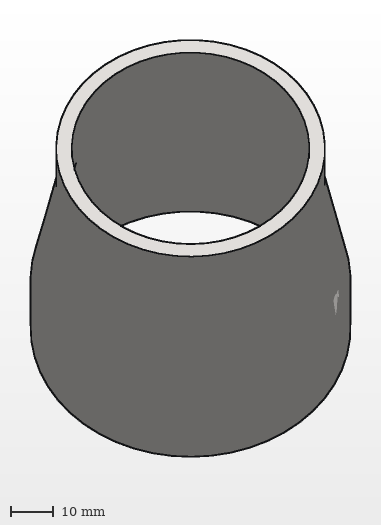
import cadquery as cq

wide_diameter = 75.0
narrow_diameter = 63.0
wall = 3.7
total_height = 71.0
wide_length = 19.0
narrow_length = 16.0

wide_radius = wide_diameter / 2
narrow_radius = narrow_diameter / 2
taper_top = total_height - narrow_length


def reducer_body(inset):
    """Solid of revolution following the outer outline, moved inward by inset."""
    lower_radius = wide_radius - inset
    upper_radius = narrow_radius - inset
    outline = [
        (0, 0),
        (lower_radius, 0),
        (lower_radius, wide_length),
        (upper_radius, taper_top),
        (upper_radius, total_height),
        (0, total_height),
    ]
    return cq.Workplane("XZ").polyline(outline).close().revolve(360, (0, 0), (0, 1))


result = reducer_body(0).cut(reducer_body(wall))